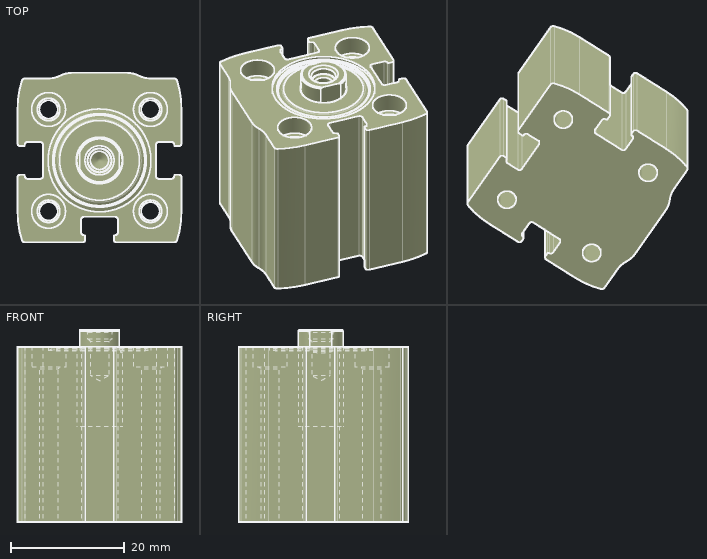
import cadquery as cq
import math

HOUSING_HEIGHT = 31.0
HALF_WIDTH = 14.5
SIDE_FLAT_HALF = 9.25
CORNER_X = 13.6
CORNER_FILLET = 0.6

PAD_RISE = 1.0
PAD_FLAT_HALF = 4.85
PAD_FOOT_HALF = 9.05

SLOT_DEPTH = 4.5
SLOT_LIP = 1.3
SLOT_MOUTH_HALF = 2.52
SLOT_POCKET_HALF = 3.25
SLOT_MOUTH_RADIUS = 0.45
SLOT_POCKET_RADIUS = 0.5
SLOT_LIP_RADIUS = 0.2

MOUNT_SPACING = 18.0
MOUNT_HOLE_DIAMETER = 3.24
MOUNT_CHAMFER_DIAMETER = 4.0
MOUNT_COUNTERBORE_DIAMETER = 6.0
MOUNT_COUNTERBORE_DEPTH = 3.5

RECESS_RADIUS = 18.2 / 2
OUTER_GROOVE_DEPTH = 0.6
RIDGE_OUTER_RADIUS = 8.28
RIDGE_DEPTH = 0.25
INNER_GROOVE_RADIUS = 16.0 / 2
RIDGE_INNER_RADIUS = 8.1
RIDGE_INNER_DEPTH = 0.35
INNER_GROOVE_DEPTH = 0.7
CAP_EDGE_RADIUS = 7.35
CAP_EDGE_DEPTH = 0.32
CAP_FACE_RADIUS = 7.05
CAP_FACE_DEPTH = 0.2

ROD_RADIUS = 8.0 / 2
ROD_TOP = 34.0
ROD_BOTTOM = 17.0
ROD_CHAMFER = 0.2
ROD_MOUTH_CHAMFER = 0.13
FLAT_HALF_WIDTH = 3.5
FLAT_BOTTOM = 30.2
FLAT_RUN_OUT_ANGLE = 25.0

THREAD_RADIUS = 3.24 / 2
THREAD_DEPTH = 8.0
THREAD_CHAMFER_RADIUS = 4.13 / 2
ENTRY_RADIUS = 4.3 / 2
ENTRY_DEPTH = 1.55
ENTRY_CHAMFER = 0.43
DRILL_POINT_ANGLE = 118.0


def outer_prism():
    """Housing block: bulged sides, rounded corners and the rear pad."""
    arc_dx = HALF_WIDTH - CORNER_X
    arc_dy = HALF_WIDTH - SIDE_FLAT_HALF
    side_radius = (arc_dx**2 + arc_dy**2) / (2 * arc_dx)
    block = (
        cq.Workplane("XY")
        .moveTo(-CORNER_X, -HALF_WIDTH)
        .lineTo(CORNER_X, -HALF_WIDTH)
        .radiusArc((HALF_WIDTH, -SIDE_FLAT_HALF), -side_radius)
        .lineTo(HALF_WIDTH, SIDE_FLAT_HALF)
        .radiusArc((CORNER_X, HALF_WIDTH), -side_radius)
        .lineTo(-CORNER_X, HALF_WIDTH)
        .radiusArc((-HALF_WIDTH, SIDE_FLAT_HALF), -side_radius)
        .lineTo(-HALF_WIDTH, -SIDE_FLAT_HALF)
        .radiusArc((-CORNER_X, -HALF_WIDTH), -side_radius)
        .close()
        .extrude(HOUSING_HEIGHT)
        .edges("|Z and (<Y or >Y)")
        .fillet(CORNER_FILLET)
    )

    pad_top = HALF_WIDTH + PAD_RISE
    middle_x = (PAD_FLAT_HALF + PAD_FOOT_HALF) / 2
    middle_y = HALF_WIDTH + PAD_RISE / 2
    run = PAD_FOOT_HALF - PAD_FLAT_HALF
    blend_radius = (run**2 + PAD_RISE**2) / (4 * PAD_RISE)
    pad = (
        cq.Workplane("XY")
        .moveTo(-PAD_FOOT_HALF, 0)
        .lineTo(PAD_FOOT_HALF, 0)
        .lineTo(PAD_FOOT_HALF, HALF_WIDTH)
        .radiusArc((middle_x, middle_y), blend_radius)
        .radiusArc((PAD_FLAT_HALF, pad_top), -blend_radius)
        .lineTo(-PAD_FLAT_HALF, pad_top)
        .radiusArc((-middle_x, middle_y), -blend_radius)
        .radiusArc((-PAD_FOOT_HALF, HALF_WIDTH), blend_radius)
        .close()
        .extrude(HOUSING_HEIGHT)
    )
    return block.union(pad)


def front_slot():
    """Space of one T-slot that opens on the front face, with a rounded mouth."""
    front = -HALF_WIDTH
    rounding_end = front + SLOT_MOUTH_RADIUS
    lip_end = front + SLOT_LIP
    flare_half = SLOT_MOUTH_HALF + SLOT_MOUTH_RADIUS
    mouth_end = front + SLOT_DEPTH / 2
    mouth = (
        cq.Workplane("XY")
        .moveTo(-flare_half, front)
        .lineTo(flare_half, front)
        .radiusArc((SLOT_MOUTH_HALF, rounding_end), SLOT_MOUTH_RADIUS)
        .lineTo(SLOT_MOUTH_HALF, mouth_end)
        .lineTo(-SLOT_MOUTH_HALF, mouth_end)
        .lineTo(-SLOT_MOUTH_HALF, rounding_end)
        .radiusArc((-flare_half, front), SLOT_MOUTH_RADIUS)
        .close()
        .extrude(HOUSING_HEIGHT)
    )
    pocket = (
        cq.Workplane("XY")
        .box(2 * SLOT_POCKET_HALF, SLOT_DEPTH - SLOT_LIP, HOUSING_HEIGHT, centered=(True, False, False))
        .edges("|Z")
        .fillet(SLOT_POCKET_RADIUS)
        .translate((0, lip_end, 0))
    )
    slot = mouth.union(pocket)
    middle = HOUSING_HEIGHT / 2
    for x in (-SLOT_MOUTH_HALF, SLOT_MOUTH_HALF):
        lip_edge = cq.selectors.NearestToPointSelector((x, lip_end, middle))
        slot = slot.edges("|Z").edges(lip_edge).fillet(SLOT_LIP_RADIUS)
    return slot


def mounting_hole():
    """Space of one through hole with a chamfer and a counterbore at the top."""
    hole_radius = MOUNT_HOLE_DIAMETER / 2
    chamfer_radius = MOUNT_CHAMFER_DIAMETER / 2
    counterbore_radius = MOUNT_COUNTERBORE_DIAMETER / 2
    floor = HOUSING_HEIGHT - MOUNT_COUNTERBORE_DEPTH
    return (
        cq.Workplane("XZ")
        .polyline([
            (0, 0),
            (hole_radius, 0),
            (hole_radius, floor - (chamfer_radius - hole_radius)),
            (chamfer_radius, floor),
            (counterbore_radius, floor),
            (counterbore_radius, HOUSING_HEIGHT),
            (0, HOUSING_HEIGHT),
        ])
        .close()
        .revolve(360, (0, 0), (0, 1))
    )


def rod_recess():
    """Space above the cap face, with its ring grooves, and the blind hole for the rod."""
    top = HOUSING_HEIGHT
    cap_face = top - CAP_FACE_DEPTH
    return (
        cq.Workplane("XZ")
        .polyline([
            (0, top),
            (RECESS_RADIUS, top),
            (RECESS_RADIUS, top - OUTER_GROOVE_DEPTH),
            (RIDGE_OUTER_RADIUS, top - RIDGE_DEPTH),
            (RIDGE_INNER_RADIUS, top - RIDGE_INNER_DEPTH),
            (INNER_GROOVE_RADIUS, top - INNER_GROOVE_DEPTH),
            (CAP_EDGE_RADIUS, top - CAP_EDGE_DEPTH),
            (CAP_FACE_RADIUS, cap_face),
            (ROD_RADIUS + ROD_MOUTH_CHAMFER, cap_face),
            (ROD_RADIUS, cap_face - ROD_MOUTH_CHAMFER),
            (ROD_RADIUS, ROD_BOTTOM),
            (0, ROD_BOTTOM),
        ])
        .close()
        .revolve(360, (0, 0), (0, 1))
    )


def make_housing():
    body = outer_prism()
    for angle in (-90, 0, 90):
        body = body.cut(front_slot().rotate((0, 0, 0), (0, 0, 1), angle))
    half_spacing = MOUNT_SPACING / 2
    for x in (-half_spacing, half_spacing):
        for y in (-half_spacing, half_spacing):
            body = body.cut(mounting_hole().translate((x, y, 0)))
    return body.cut(rod_recess())


def rod_end_hole():
    """Space of the chamfered entry, the thread core and its drill point."""
    entry_floor = ROD_TOP - ENTRY_DEPTH
    thread_bottom = ROD_TOP - THREAD_DEPTH
    point_depth = THREAD_RADIUS / math.tan(math.radians(DRILL_POINT_ANGLE / 2))
    return (
        cq.Workplane("XZ")
        .polyline([
            (0, ROD_TOP),
            (ENTRY_RADIUS + ENTRY_CHAMFER, ROD_TOP),
            (ENTRY_RADIUS, ROD_TOP - ENTRY_CHAMFER),
            (ENTRY_RADIUS, entry_floor),
            (THREAD_CHAMFER_RADIUS, entry_floor),
            (THREAD_RADIUS, entry_floor - (THREAD_CHAMFER_RADIUS - THREAD_RADIUS)),
            (THREAD_RADIUS, thread_bottom),
            (0, thread_bottom - point_depth),
        ])
        .close()
        .revolve(360, (0, 0), (0, 1))
    )


def wrench_flat():
    """Material removed for the flat on the +X side, ending in a sloped run-out."""
    run_out = (ROD_RADIUS - FLAT_HALF_WIDTH) * math.tan(math.radians(FLAT_RUN_OUT_ANGLE))
    return (
        cq.Workplane("XZ")
        .polyline([
            (FLAT_HALF_WIDTH, ROD_TOP),
            (FLAT_HALF_WIDTH, FLAT_BOTTOM),
            (ROD_RADIUS, FLAT_BOTTOM - run_out),
            (ROD_RADIUS, ROD_TOP),
        ])
        .close()
        .extrude(ROD_RADIUS, both=True)
    )


def make_rod():
    rod = (
        cq.Workplane("XY")
        .workplane(offset=ROD_BOTTOM)
        .circle(ROD_RADIUS)
        .extrude(ROD_TOP - ROD_BOTTOM)
        .faces(">Z")
        .chamfer(ROD_CHAMFER)
    )
    for angle in (0, 180):
        rod = rod.cut(wrench_flat().rotate((0, 0, 0), (0, 0, 1), angle))
    return rod.cut(rod_end_hole())


housing = make_housing()
piston_rod = make_rod()

result = cq.Compound.makeCompound([housing.val(), piston_rod.val()])